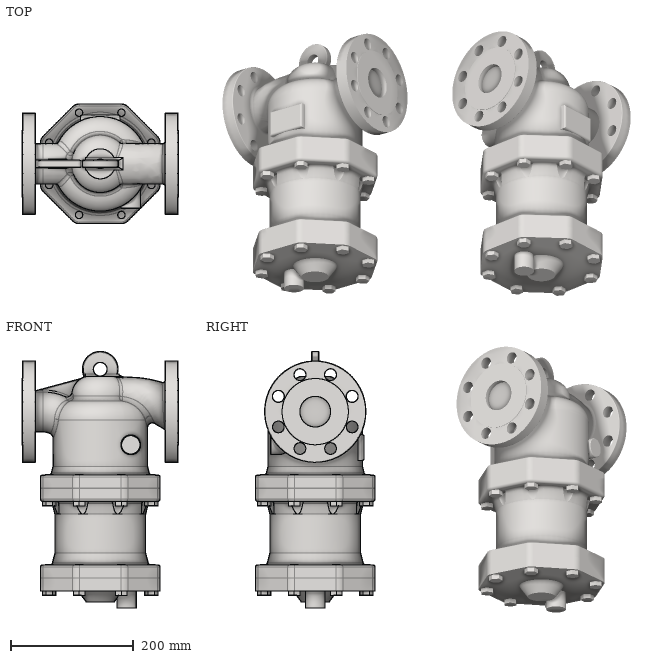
import cadquery as cq
import math

tolerance = 0.001


face_to_face = 255.0
pipe_flange_dia = 165.0
pipe_flange_thickness = 22.0
pipe_flange_edge_fillet = 1.0
raised_face_dia = 108.0
raised_face_height = 1.0
pipe_bolt_circle_dia = 130.0
pipe_bolt_hole_dia = 19.0
bolt_count = 8
port_dia = 50.0
port_depth = 10.0
flange_back_x = face_to_face / 2 - pipe_flange_thickness

pipe_radius = 33.0
pipe_end_overlap = 1.0
inlet_bend_radius = 60.0
inlet_straight = 12.0
inlet_bend_angle = 45.0
outlet_start_z = 24.0
outlet_root_x = 12.0
outlet_level_handle_x = 88.0
outlet_slope_handle = 45.0
outlet_end_x = 130.0
outlet_end_z = -6.0
outlet_end_angle = 32.0
outlet_neck_fillet = 3.5

upper_radius = 77.0
shoulder_start_z = -13.4
head_radius = 45.5
shoulder_fillet = upper_radius - head_radius
shoulder_top_z = shoulder_start_z + shoulder_fillet
head_top_z = 57.3
head_top_radius = 24.5
head_dome_radius = 32.0
pipe_blend = 8.0

octagon_width = 195.0
octagon_corner_fillet = 15.0
octagon_edge_fillet = 3.0
octagon_plate = 21.2
gasket_thickness = 0.6
upper_pair_top_z = -103.4
upper_pair_bottom_z = upper_pair_top_z - 2 * octagon_plate - gasket_thickness
lower_pair_bottom_z = -292.0
lower_pair_top_z = lower_pair_bottom_z + 2 * octagon_plate

cover_bolt_circle_radius = 90.0
stud_dia = 12.0
stud_projection = 1.0
bolt_head_sides = 6
bolt_head_flats = 19.0
bolt_head_height = 7.0
bolt_clearance_dia = 32.0

lower_radius = 74.0
flare_slope = 0.25
root_fillet = 4.5
root_limit = 90.0
upper_body_flare_height = 14.5
lower_body_top_flare_height = 20.5
lower_body_bottom_flare_height = 19.5

lug_radius = 29.0
lug_hole_dia = 22.0
lug_center_z = 69.0
lug_thickness = 12.0
lug_edge_fillet = 1.5
foot_fillet = 4.0
foot_half_width = lug_thickness / 2 + foot_fillet
lug_foot_z = 57.3
lug_foot_start_x = -24.0
lug_end_fillet = 8.0
rib_low_z = 34.0
rib_high_x = -20.0
rib_high_z = 57.0

plug_dia = 32.0
plug_chamfer = 1.0
plug_x = 49.7
plug_z = -54.0
plug_face_y = -72.7
nameplate_width = 65.0
nameplate_height = 42.0
nameplate_z = -58.5
nameplate_face_y = 79.5
nameplate_edge_fillet = 3.0

cover_top_radius = 36.0
cover_bottom_radius = 22.5
cover_bottom_z = -310.2
drain_dia = 32.0
drain_x = 43.0
drain_bottom_z = -320.0


def revolved(profile):
    return profile.close().revolve(360, (0, 0, 0), (0, 1, 0))


def upper_shell():
    """Domed upper casting: cylinder, rounded shoulder and domed head."""
    flare_start_z = upper_pair_top_z + upper_body_flare_height
    profile = (
        cq.Workplane("XZ")
        .moveTo(0, upper_pair_top_z)
        .lineTo(upper_radius + flare_slope * upper_body_flare_height, upper_pair_top_z)
        .lineTo(upper_radius, flare_start_z)
        .lineTo(upper_radius, shoulder_start_z)
        .radiusArc((head_radius, shoulder_top_z), -shoulder_fillet)
        .radiusArc((head_top_radius, head_top_z), -head_dome_radius)
        .lineTo(0, head_top_z)
    )
    return revolved(profile)


def inlet_path():
    """Centre line of the inlet: straight from the left flange, then bending down into the body."""
    bend_x = -flange_back_x + inlet_straight
    turn = math.radians(inlet_bend_angle)
    end = (bend_x + inlet_bend_radius * math.sin(turn), inlet_bend_radius * (math.cos(turn) - 1))
    return (
        cq.Workplane("XZ")
        .moveTo(-flange_back_x - pipe_end_overlap, 0)
        .lineTo(bend_x, 0)
        .radiusArc(end, inlet_bend_radius)
    )


def inlet_plane():
    return cq.Workplane("YZ", origin=(-flange_back_x - pipe_end_overlap, 0, 0))


def inlet_pipe():
    return inlet_plane().circle(pipe_radius).sweep(inlet_path())


def outlet_pipe():
    """Pipe leaving the head level and sloping down to the back of the right flange."""
    slope = math.radians(outlet_end_angle)
    slope_handle = (
        outlet_end_x - outlet_slope_handle * math.cos(slope),
        outlet_end_z + outlet_slope_handle * math.sin(slope),
    )
    path = (
        cq.Workplane("XZ")
        .moveTo(outlet_root_x, outlet_start_z)
        .bezier(
            [(outlet_level_handle_x, outlet_start_z), slope_handle, (outlet_end_x, outlet_end_z)],
            includeCurrent=True,
        )
    )
    pipe = cq.Workplane("YZ", origin=(outlet_root_x, 0, outlet_start_z)).circle(pipe_radius).sweep(path)
    keep = cq.Workplane("XY").box(
        flange_back_x + pipe_end_overlap,
        pipe_flange_dia,
        2 * pipe_flange_dia,
        centered=(False, True, True),
    )
    return pipe.intersect(keep)


def edges_where(solid, test):
    """Select the edges of a solid that pass a test."""
    return solid.newObject([edge for edge in solid.edges().vals() if test(edge)])


def is_level_circle(edge, z):
    box = edge.BoundingBox()
    return edge.geomType() == "CIRCLE" and box.zlen < tolerance and abs(box.zmax - z) < tolerance


def is_pipe_junction(edge):
    """True where a pipe or the head meets the surface it grows from."""
    if is_level_circle(edge, shoulder_top_z):
        return True
    box = edge.BoundingBox()
    inside_body = max(-box.xmin, box.xmax) < upper_radius + tolerance
    return edge.geomType() == "BSPLINE" and inside_body


def is_outlet_neck(edge):
    """True for the outline of the outlet pipe on the back of its flange."""
    box = edge.BoundingBox()
    on_flange_back = box.xlen < tolerance and abs(box.xmin - flange_back_x) < tolerance
    return on_flange_back and edge.geomType() == "BSPLINE"


def octagon(top_z, thickness):
    """Octagonal plate with rounded corners, flats facing the X and Y axes."""
    return (
        cq.Workplane("XY", origin=(0, 0, top_z - thickness))
        .polygon(bolt_count, octagon_width, circumscribed=True)
        .extrude(thickness)
        .edges("|Z")
        .fillet(octagon_corner_fillet)
    )


def blend_roots(solid, levels):
    """Round the corners where flared walls meet the flange faces at the given heights."""
    for z in levels:
        roots = edges_where(solid, lambda edge: is_level_circle(edge, z) and edge.radius() < root_limit)
        solid = roots.fillet(root_fillet)
    return solid


def extruded_across(profile, width):
    """Extrude a profile drawn in the XZ plane evenly to both sides of Y = 0."""
    return profile.close().extrude(width / 2, both=True)


def rib_outline():
    """Side outline of the rib: a sloping top edge over the inlet pipe and the head."""
    return (
        cq.Workplane("XZ")
        .moveTo(-flange_back_x, 0)
        .lineTo(-flange_back_x, rib_low_z)
        .lineTo(rib_high_x, rib_high_z)
        .lineTo(0, rib_high_z)
        .lineTo(0, 0)
    )


def foot_section(plane, foot_y, foot_z):
    """Cross-section of a plate foot spreading through a concave arc on each side."""
    half = lug_thickness / 2
    top_z = foot_z + foot_fillet
    return (
        plane.moveTo(half, top_z)
        .radiusArc((foot_y, foot_z), -foot_fillet)
        .lineTo(foot_y, foot_z - foot_fillet)
        .lineTo(-foot_y, foot_z - foot_fillet)
        .lineTo(-foot_y, foot_z)
        .radiusArc((-half, top_z), -foot_fillet)
        .close()
    )


def lug_foot():
    """Flared foot of the eye, running out onto the outlet pipe."""
    end_x = lug_radius + lug_end_fillet
    sides = foot_section(cq.Workplane("YZ"), foot_half_width, lug_foot_z).extrude(end_x, both=True)
    outline = (
        cq.Workplane("XZ")
        .moveTo(lug_foot_start_x, lug_foot_z - foot_fillet)
        .lineTo(end_x, lug_foot_z - foot_fillet)
        .lineTo(end_x, lug_foot_z)
        .radiusArc((lug_radius, lug_foot_z + lug_end_fillet), lug_end_fillet)
        .lineTo(lug_foot_start_x, lug_foot_z + lug_end_fillet)
    )
    return sides.intersect(extruded_across(outline, 2 * foot_half_width))


def rib_foot():
    """Flared foot of the rib, following the bend of the inlet pipe under the rib's top edge."""
    contact_z = math.sqrt(pipe_radius**2 - foot_half_width**2)
    section = foot_section(inlet_plane(), foot_half_width, contact_z)
    return section.sweep(inlet_path()).intersect(extruded_across(rib_outline(), 2 * foot_half_width))


def lifting_lug():
    """Eye plate on the head and the rib running from it down to the inlet flange."""
    eye = cq.Workplane("XZ").center(0, lug_center_z).circle(lug_radius).extrude(lug_thickness / 2, both=True)
    plate = eye.union(extruded_across(rib_outline(), lug_thickness))
    plate = plate.faces("<Y or >Y").edges().fillet(lug_edge_fillet)
    return plate.union(lug_foot()).union(rib_foot())


def pipe_flange(side):
    """Drilled flange with a raised face; side is -1 for the inlet and +1 for the outlet."""
    back = cq.Workplane("YZ", origin=(side * flange_back_x, 0, 0))
    plate = back.circle(pipe_flange_dia / 2).extrude(side * (pipe_flange_thickness - raised_face_height))
    plate = plate.faces("<X" if side > 0 else ">X").edges().fillet(pipe_flange_edge_fillet)
    plate = plate.union(back.circle(raised_face_dia / 2).extrude(side * pipe_flange_thickness))
    holes = (
        back.polarArray(pipe_bolt_circle_dia / 2, 180 / bolt_count, 360, bolt_count)
        .circle(pipe_bolt_hole_dia / 2)
        .extrude(side * pipe_flange_thickness)
    )
    port = (
        cq.Workplane("YZ", origin=(side * (face_to_face / 2 - port_depth), 0, 0))
        .circle(port_dia / 2)
        .extrude(side * port_depth)
    )
    return plate.cut(holes).cut(port)


def drain_plug():
    """Round boss on the front of the upper body."""
    return (
        cq.Workplane("XZ", origin=(plug_x, plug_face_y, plug_z))
        .circle(plug_dia / 2)
        .extrude(plug_face_y)
        .faces("<Y")
        .chamfer(plug_chamfer)
    )


def nameplate_pad():
    """Flat rectangular pad on the back of the upper body."""
    return (
        cq.Workplane("XZ", origin=(0, nameplate_face_y, nameplate_z))
        .rect(nameplate_width, nameplate_height)
        .extrude(nameplate_face_y)
        .faces(">Y")
        .edges()
        .fillet(nameplate_edge_fillet)
    )


def upper_casting():
    """Upper body with its pipes, flanges, lifting lug and side bosses."""
    plate = octagon(upper_pair_top_z, octagon_plate).faces(">Z").edges().fillet(octagon_edge_fillet)
    body = upper_shell().union(inlet_pipe()).union(outlet_pipe())
    body = edges_where(body, is_pipe_junction).fillet(pipe_blend)
    body = body.union(pipe_flange(-1)).union(pipe_flange(1))
    body = edges_where(body, is_outlet_neck).fillet(outlet_neck_fillet)
    body = body.union(plate)
    body = blend_roots(body, [upper_pair_top_z])
    body = body.union(lifting_lug()).union(drain_plug()).union(nameplate_pad())
    lug_hole = cq.Workplane("XZ").center(0, lug_center_z).circle(lug_hole_dia / 2).extrude(lug_thickness, both=True)
    return body.cut(lug_hole)


def bolt_positions():
    """Position and turn of every cover bolt: head corners point at the nearest X or Y side."""
    for index in range(bolt_count):
        angle = math.radians((index + 0.5) * 360 / bolt_count)
        x = cover_bolt_circle_radius * math.cos(angle)
        y = cover_bolt_circle_radius * math.sin(angle)
        yield x, y, 90 if abs(x) > abs(y) else 0


def cover_bolts(top_z, bottom_z):
    """Ring of studs with hexagonal heads under the flange pair."""
    bolts = cq.Workplane("XY")
    for x, y, turn in bolt_positions():
        head = (
            cq.Workplane("XY", origin=(x, y, bottom_z - bolt_head_height))
            .transformed(rotate=(0, 0, turn))
            .polygon(bolt_head_sides, bolt_head_flats, circumscribed=True)
            .extrude(bolt_head_height)
        )
        stud = (
            cq.Workplane("XY", origin=(x, y, bottom_z))
            .circle(stud_dia / 2)
            .extrude(top_z + stud_projection - bottom_z)
        )
        bolts = bolts.add(head.union(stud))
    return bolts.combine()


def middle_body():
    """Cylinder flared into an octagonal flange at each end, with room for the bolt heads."""
    top_flare = flare_slope * lower_body_top_flare_height
    bottom_flare = flare_slope * lower_body_bottom_flare_height
    profile = (
        cq.Workplane("XZ")
        .moveTo(0, lower_pair_top_z)
        .lineTo(lower_radius + bottom_flare, lower_pair_top_z)
        .lineTo(lower_radius, lower_pair_top_z + lower_body_bottom_flare_height)
        .lineTo(lower_radius, upper_pair_bottom_z - lower_body_top_flare_height)
        .lineTo(lower_radius + top_flare, upper_pair_bottom_z)
        .lineTo(0, upper_pair_bottom_z)
    )
    top_plate = octagon(upper_pair_bottom_z + octagon_plate, octagon_plate)
    bottom_plate = octagon(lower_pair_top_z, octagon_plate).faces(">Z").edges().fillet(octagon_edge_fillet)
    body = revolved(profile).union(top_plate).union(bottom_plate)
    body = blend_roots(body, [upper_pair_bottom_z, lower_pair_top_z])
    clearance = (
        cq.Workplane("XY", origin=(0, 0, upper_pair_bottom_z))
        .polarArray(cover_bolt_circle_radius, 180 / bolt_count, 360, bolt_count)
        .circle(bolt_clearance_dia / 2)
        .extrude(-lower_body_top_flare_height)
    )
    return body.cut(clearance)


def bottom_cover():
    """Octagonal cover with a shallow conical bulge and an offset drain stub."""
    plate = octagon(lower_pair_bottom_z + octagon_plate, octagon_plate)
    profile = (
        cq.Workplane("XZ")
        .moveTo(0, lower_pair_bottom_z)
        .lineTo(cover_top_radius, lower_pair_bottom_z)
        .lineTo(cover_bottom_radius, cover_bottom_z)
        .lineTo(0, cover_bottom_z)
    )
    drain = (
        cq.Workplane("XY", origin=(drain_x, 0, drain_bottom_z))
        .circle(drain_dia / 2)
        .extrude(lower_pair_bottom_z - drain_bottom_z)
    )
    return plate.union(revolved(profile)).union(drain)


gasket = octagon(upper_pair_top_z - octagon_plate, gasket_thickness)

result = (
    upper_casting()
    .union(gasket, clean=False)
    .union(middle_body(), clean=False)
    .union(bottom_cover(), clean=False)
    .union(cover_bolts(upper_pair_top_z, upper_pair_bottom_z), clean=False)
    .union(cover_bolts(lower_pair_top_z, lower_pair_bottom_z), clean=False)
)